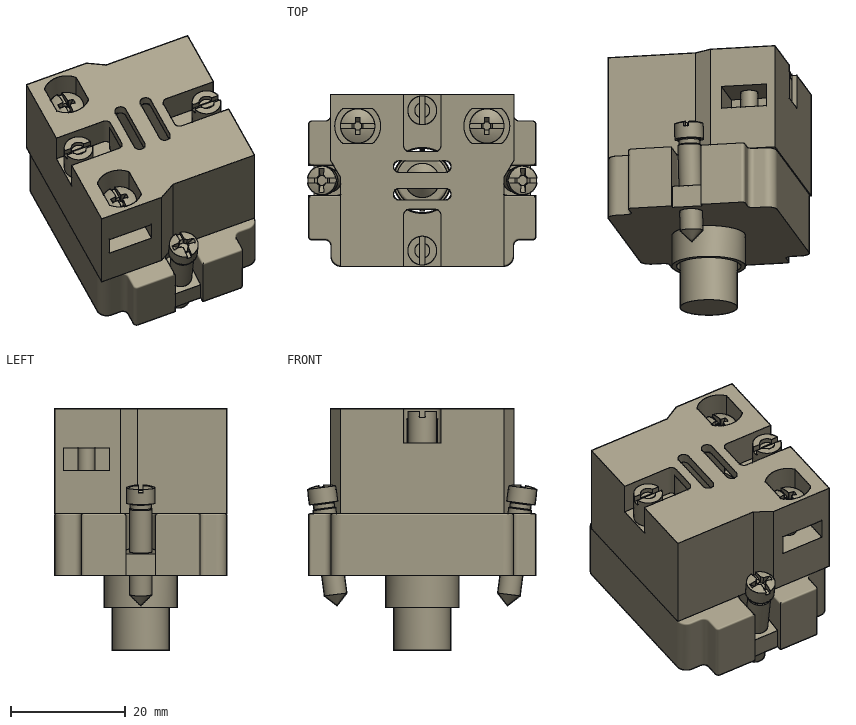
import cadquery as cq

TOTAL_HEIGHT = 42.1
DEPTH = 30.0
BASE_BOTTOM = 13.0
BASE_TOP = 23.8
BOSS_BOTTOM = 7.45

HOUSING_WIDTH = 32.0
HOUSING_FRONT_WIDTH = 28.47
WAIST_START_Y = 0.55
WAIST_END_Y = 3.55
CAVITY_DIAMETER = 11.5
CEILING_THICKNESS = 1.8
VENT_LENGTH = 10.0
VENT_WIDTH = 2.0
VENT_OFFSET_Y = 2.4
NOTCH_WIDTH = 6.5
NOTCH_FLOOR = 36.15
NOTCH_END_Y = 5.05
NOTCH_FILLET = 0.95

TERMINAL_X = 11.25
TERMINAL_Y = 9.48
POCKET_DIAMETER = 8.0
POCKET_WIDTH = 6.05
POCKET_FLOOR = 36.65
WINDOW_BOTTOM = 31.35
WINDOW_TOP = 35.25
TERMINAL_HEAD_DIAMETER = 6.0
TERMINAL_SHANK_DIAMETER = 3.0
TERMINAL_RIM_HEIGHT = 2.02
TERMINAL_DOME_HEIGHT = 0.85
TERMINAL_SLOT_DEPTH = 0.5
TERMINAL_CORE_DEPTH = 1.2
TERMINAL_CORE_REACH = 0.67
TERMINAL_ARM_REACH = 1.55
CROSS_SLOT_WIDTH = 0.85

SLOTTED_DIAMETER = 5.0
SLOTTED_Y = 12.2
SLOTTED_TOP = 41.6
SLOTTED_CUT_DEPTH = 1.1
SLOTTED_CUT_WIDTH = 1.0
SLOTTED_SOCKET_DIAMETER = 2.6
SLOTTED_SOCKET_DEPTH = 0.9

BASE_BODY_WIDTH = 31.85
BASE_EAR_WIDTH = 39.6
BASE_EAR_LENGTH = 20.72
BASE_CORNER_RADIUS = 1.85
EAR_INNER_RADIUS = 1.0
EAR_OUTER_RADIUS = 0.6
BASE_TOP_FILLET = 0.3
BASE_BORE_DIAMETER = 11.2
BOSS_DIAMETER = 12.8
SEAT_WIDTH = 5.22
SEAT_RECESS = 0.93
SEAT_INNER_REACH = 1.75
SEAT_FROM_TIP = 9.5

MOUNT_TILT = 7.5
MOUNT_TIP_X = 14.83
MOUNT_TIP_Z = 7.75
MOUNT_SHANK_DIAMETER = 4.0
MOUNT_NECK_DIAMETER = 3.65
MOUNT_HEAD_DIAMETER = 5.0
MOUNT_SHANK_END = 16.97
MOUNT_HEAD_START = 18.05
MOUNT_RIM_END = 20.75
MOUNT_NECK_BEVEL = 0.15
MOUNT_DOME_HEIGHT = 0.45
MOUNT_SLOT_DEPTH = 0.65
MOUNT_CORE_DEPTH = 1.1
MOUNT_CORE_REACH = 0.9
MOUNT_ARM_REACH = 2.35

PLUG_BARREL_DIAMETER = 10.0
PLUG_COLLAR_DIAMETER = 10.2
PLUG_NECK_DIAMETER = 9.2
PLUG_TIP_DIAMETER = 6.0
PLUG_COLLAR_BOTTOM = 16.85
PLUG_COLLAR_TOP = 21.05
PLUG_SHOULDER = 23.6
PLUG_NECK_TOP = 27.8
PLUG_NECK_FILLET = 0.5
PLUG_TIP_HEIGHT = 3.0
PLUG_PIN_DIAMETER = 0.75
PLUG_PIN_SPAN = 10.7
PLUG_PIN_Z = 18.95

DOME_MID_RISE = 0.75
SELECT_MARGIN = 0.05
SIDES = (-1, 1)


def block(x_size, y_size, z_bottom, z_top, x=0.0, y=0.0):
    """A box centred on (x, y) between two heights."""
    return cq.Workplane("XY", (x, y, z_bottom)).rect(x_size, y_size).extrude(z_top - z_bottom)


def rod(diameter, z_bottom, z_top, x=0.0, y=0.0):
    """An upright cylinder between two heights."""
    return cq.Workplane("XY", (x, y, z_bottom)).circle(diameter / 2).extrude(z_top - z_bottom)


def cut_cross_recess(screw, rim_z, dome_height, head_diameter, slot_depth, core_depth, core_reach, arm_reach):
    """Cut a full-width slot along X and a deeper cross with sloped arm ends into a domed head."""
    top = rim_z + dome_height
    floor = rim_z - core_depth
    slot = block(head_diameter, CROSS_SLOT_WIDTH, rim_z - slot_depth, top)
    arm = (
        cq.Workplane("XZ")
        .polyline([(-arm_reach, top), (arm_reach, top), (core_reach, floor), (-core_reach, floor)])
        .close()
        .extrude(CROSS_SLOT_WIDTH / 2, both=True)
    )
    cross_arm = arm.rotate((0, 0, 0), (0, 0, 1), 90)
    core = rod(2 * core_reach, floor, top)
    return screw.cut(slot).cut(arm).cut(cross_arm).cut(core)


def make_housing():
    back_x = HOUSING_WIDTH / 2
    front_x = HOUSING_FRONT_WIDTH / 2
    half_depth = DEPTH / 2
    body = (
        cq.Workplane("XY", (0, 0, BASE_TOP))
        .polyline([
            (-front_x, -half_depth), (front_x, -half_depth),
            (front_x, WAIST_START_Y), (back_x, WAIST_END_Y),
            (back_x, half_depth), (-back_x, half_depth),
            (-back_x, WAIST_END_Y), (-front_x, WAIST_START_Y),
        ])
        .close()
        .extrude(TOTAL_HEIGHT - BASE_TOP)
    )
    body = body.cut(rod(CAVITY_DIAMETER, BASE_TOP, TOTAL_HEIGHT - CEILING_THICKNESS))

    vents = (
        cq.Workplane("XY", (0, 0, TOTAL_HEIGHT))
        .pushPoints([(0, side * VENT_OFFSET_Y) for side in SIDES])
        .slot2D(VENT_LENGTH, VENT_WIDTH)
        .extrude(-CEILING_THICKNESS)
    )
    body = body.cut(vents)

    notch_length = half_depth - NOTCH_END_Y
    notch_mid_y = (half_depth + NOTCH_END_Y) / 2
    for side in SIDES:
        notch = block(NOTCH_WIDTH, notch_length, NOTCH_FLOOR, TOTAL_HEIGHT, y=side * notch_mid_y)
        inner_edges = "|Z and <Y" if side > 0 else "|Z and >Y"
        body = body.cut(notch.edges(inner_edges).fillet(NOTCH_FILLET))

    for side in SIDES:
        body = cut_terminal(body, side)
    return body


def cut_terminal(body, side):
    """Screw pocket from above, wire window from the side and the shank hole between them."""
    x = side * TERMINAL_X
    pocket = rod(POCKET_DIAMETER, POCKET_FLOOR, TOTAL_HEIGHT, x, TERMINAL_Y).intersect(
        block(POCKET_DIAMETER, POCKET_WIDTH, POCKET_FLOOR, TOTAL_HEIGHT, x, TERMINAL_Y)
    )
    inner_x = TERMINAL_X - POCKET_DIAMETER / 2
    outer_x = HOUSING_WIDTH / 2
    window = block(
        outer_x - inner_x, POCKET_DIAMETER, WINDOW_BOTTOM, WINDOW_TOP,
        side * (inner_x + outer_x) / 2, TERMINAL_Y,
    )
    shank_hole = rod(TERMINAL_SHANK_DIAMETER, WINDOW_BOTTOM, POCKET_FLOOR, x, TERMINAL_Y)
    return body.cut(pocket).cut(window).cut(shank_hole)


def make_base():
    middle = block(BASE_BODY_WIDTH, DEPTH, BASE_BOTTOM, BASE_TOP)
    middle = middle.edges("|Z").fillet(BASE_CORNER_RADIUS)
    ears = block(BASE_EAR_WIDTH, BASE_EAR_LENGTH, BASE_BOTTOM, BASE_TOP)
    ears = ears.edges("|Z").fillet(EAR_OUTER_RADIUS)
    body = middle.union(ears)
    corner_x = BASE_BODY_WIDTH / 2 + SELECT_MARGIN
    corner_y = BASE_EAR_LENGTH / 2 + SELECT_MARGIN
    inner_corners = cq.selectors.BoxSelector(
        (-corner_x, -corner_y, BASE_BOTTOM), (corner_x, corner_y, BASE_TOP)
    )
    body = body.edges("|Z").edges(inner_corners).fillet(EAR_INNER_RADIUS)

    for side in SIDES:
        recess = block(2 * SEAT_RECESS, SEAT_WIDTH, BASE_BOTTOM, BASE_TOP, x=side * BASE_EAR_WIDTH / 2)
        body = body.cut(recess).cut(tilt_into_place(make_seat_cutter(), side))
    body = body.faces(">Z").edges().fillet(BASE_TOP_FILLET)

    for side in SIDES:
        body = body.cut(tilt_into_place(rod(MOUNT_SHANK_DIAMETER, 0, SEAT_FROM_TIP), side))
    body = body.union(rod(BOSS_DIAMETER, BOSS_BOTTOM, BASE_BOTTOM))
    return body.cut(rod(BASE_BORE_DIAMETER, BOSS_BOTTOM, BASE_TOP))


def make_seat_cutter():
    """A round-ended channel, square to the screw axis and open to the outside."""
    channel_length = BASE_EAR_WIDTH / 4
    round_end = rod(SEAT_WIDTH, SEAT_FROM_TIP, MOUNT_HEAD_START, x=-SEAT_INNER_REACH)
    channel = block(
        channel_length, SEAT_WIDTH, SEAT_FROM_TIP, MOUNT_HEAD_START,
        x=channel_length / 2 - SEAT_INNER_REACH,
    )
    return round_end.union(channel)


def tilt_into_place(shape, side):
    """Move a shape from an upright axis at the origin to a mounting screw axis."""
    turned = shape if side > 0 else shape.rotate((0, 0, 0), (0, 0, 1), 180)
    tilted = turned.rotate((0, 0, 0), (0, 1, 0), side * MOUNT_TILT)
    return tilted.translate((side * MOUNT_TIP_X, 0, MOUNT_TIP_Z))


def make_mounting_screw(side):
    shank = MOUNT_SHANK_DIAMETER / 2
    neck = MOUNT_NECK_DIAMETER / 2
    head = MOUNT_HEAD_DIAMETER / 2
    apex = MOUNT_RIM_END + MOUNT_DOME_HEIGHT
    screw = (
        cq.Workplane("XZ")
        .moveTo(0, 0)
        .lineTo(shank, shank)
        .lineTo(shank, MOUNT_SHANK_END)
        .lineTo(neck, MOUNT_SHANK_END + MOUNT_NECK_BEVEL)
        .lineTo(neck, MOUNT_HEAD_START - MOUNT_NECK_BEVEL)
        .lineTo(shank, MOUNT_HEAD_START)
        .lineTo(head, MOUNT_HEAD_START)
        .lineTo(head, MOUNT_RIM_END)
        .threePointArc((head / 2, MOUNT_RIM_END + DOME_MID_RISE * MOUNT_DOME_HEIGHT), (0, apex))
        .close()
        .revolve(360, (0, 0), (0, 1))
    )
    screw = cut_cross_recess(
        screw, MOUNT_RIM_END, MOUNT_DOME_HEIGHT, MOUNT_HEAD_DIAMETER,
        MOUNT_SLOT_DEPTH, MOUNT_CORE_DEPTH, MOUNT_CORE_REACH, MOUNT_ARM_REACH,
    )
    return tilt_into_place(screw, side)


def make_terminal_screw(side):
    shank = TERMINAL_SHANK_DIAMETER / 2
    head = TERMINAL_HEAD_DIAMETER / 2
    rim = POCKET_FLOOR + TERMINAL_RIM_HEIGHT
    apex = rim + TERMINAL_DOME_HEIGHT
    screw = (
        cq.Workplane("XZ")
        .moveTo(0, WINDOW_BOTTOM)
        .lineTo(shank, WINDOW_BOTTOM)
        .lineTo(shank, POCKET_FLOOR)
        .lineTo(head, POCKET_FLOOR)
        .lineTo(head, rim)
        .threePointArc((head / 2, rim + DOME_MID_RISE * TERMINAL_DOME_HEIGHT), (0, apex))
        .close()
        .revolve(360, (0, 0), (0, 1))
    )
    screw = cut_cross_recess(
        screw, rim, TERMINAL_DOME_HEIGHT, TERMINAL_HEAD_DIAMETER,
        TERMINAL_SLOT_DEPTH, TERMINAL_CORE_DEPTH, TERMINAL_CORE_REACH, TERMINAL_ARM_REACH,
    )
    return screw.translate((side * TERMINAL_X, TERMINAL_Y, 0))


def make_slotted_screw(side):
    y = side * SLOTTED_Y
    cut_floor = SLOTTED_TOP - SLOTTED_CUT_DEPTH
    screw = rod(SLOTTED_DIAMETER, NOTCH_FLOOR, SLOTTED_TOP, y=y)
    slot = block(SLOTTED_CUT_WIDTH, SLOTTED_DIAMETER, cut_floor, SLOTTED_TOP, y=y)
    socket_floor = SLOTTED_TOP - SLOTTED_SOCKET_DEPTH
    socket = rod(SLOTTED_SOCKET_DIAMETER, socket_floor, SLOTTED_TOP, y=y)
    return screw.cut(slot).cut(socket)


def make_plug():
    """Stepped barrel with a cone on top and a cross pin through its collar."""
    neck = rod(PLUG_NECK_DIAMETER, PLUG_SHOULDER, PLUG_NECK_TOP)
    neck = neck.faces(">Z").edges().fillet(PLUG_NECK_FILLET)
    tip_radius = PLUG_TIP_DIAMETER / 2
    tip = cq.Workplane(cq.Solid.makeCone(tip_radius, 0, PLUG_TIP_HEIGHT, pnt=cq.Vector(0, 0, PLUG_NECK_TOP)))
    pin = (
        cq.Workplane("XZ", (0, 0, PLUG_PIN_Z))
        .circle(PLUG_PIN_DIAMETER / 2)
        .extrude(PLUG_PIN_SPAN / 2, both=True)
    )
    plug = rod(PLUG_BARREL_DIAMETER, 0, PLUG_SHOULDER)
    plug = plug.union(rod(PLUG_COLLAR_DIAMETER, PLUG_COLLAR_BOTTOM, PLUG_COLLAR_TOP))
    return plug.union(neck).union(tip).union(pin)


housing = make_housing()
base = make_base()
plug = make_plug()
mounting_screws = [make_mounting_screw(side) for side in SIDES]
terminal_screws = [make_terminal_screw(side) for side in SIDES]
slotted_screws = [make_slotted_screw(side) for side in SIDES]

result = cq.Compound.makeCompound([
    housing.val(),
    base.val(),
    plug.val(),
    *[screw.val() for screw in mounting_screws],
    *[screw.val() for screw in terminal_screws],
    *[screw.val() for screw in slotted_screws],
])